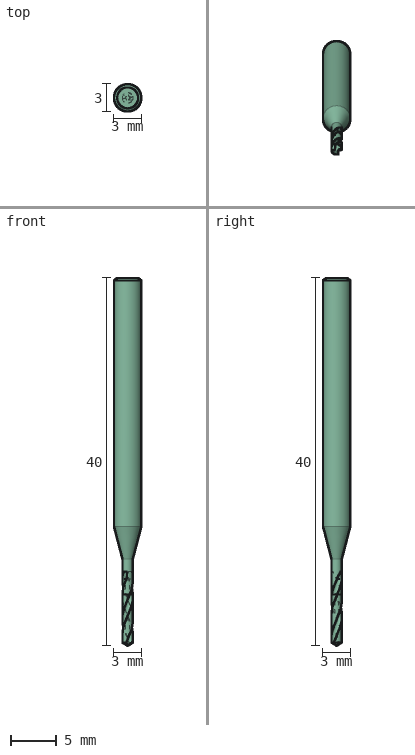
import cadquery as cq
import math

total_length = 40.0
shank_radius = 3.0 / 2
shank_start = 12.95
neck_top = 9.45
joint_height = 5.6
drill_radius = 1.15 / 2
top_chamfer_width = 0.35
top_chamfer_height = 0.3

point_angle = 118.0
point_height = drill_radius / math.tan(math.radians(point_angle / 2))

flute_count = 2
flute_radius = 0.35
flute_pitch = 8.65
flute_start_angle = 97.0
flute_end = 7.3
flute_twist = 360 * flute_end / flute_pitch
runout_height = 0.8
runout_tilt = 0.25


def flute_section(angle, height):
    """Round groove section centred on the drill surface."""
    turn = math.radians(angle)
    centre = (drill_radius * math.cos(turn), drill_radius * math.sin(turn))
    return cq.Workplane("XY").workplane(offset=height).pushPoints([centre]).circle(flute_radius)


def helical_flute(start_angle):
    """Groove section twisted about the drill axis, from the tip to the run-out."""
    return flute_section(start_angle, 0).twistExtrude(flute_end, flute_twist)


def flute_runout(start_angle):
    """Straight end of a groove, following the helix tangent and rising out of the drill."""
    end_angle = start_angle + flute_twist
    turn = math.radians(end_angle)
    sideways = 2 * math.pi * drill_radius * runout_height / flute_pitch
    direction = cq.Vector(
        runout_tilt * math.cos(turn) - sideways * math.sin(turn),
        runout_tilt * math.sin(turn) + sideways * math.cos(turn),
        runout_height,
    )
    section = flute_section(end_angle, flute_end).val()
    return cq.Workplane(cq.Solid.extrudeLinear(section, [], direction))


def cut_flutes(body, flute_cutter):
    """Cut the evenly spaced grooves made by flute_cutter."""
    for index in range(flute_count):
        body = body.cut(flute_cutter(flute_start_angle + index * 360 / flute_count))
    return body


def revolve_profile(points):
    """Turn a radius-height outline about the Z axis."""
    return cq.Workplane("XZ").polyline(points).close().revolve(360, (0, 0), (0, 1))


def make_shank():
    """Chamfered shank, taper and neck, with the upper ends of the flutes."""
    body = revolve_profile([
        (0, joint_height),
        (drill_radius, joint_height),
        (drill_radius, neck_top),
        (shank_radius, shank_start),
        (shank_radius, total_length - top_chamfer_height),
        (shank_radius - top_chamfer_width, total_length),
        (0, total_length),
    ])
    return cut_flutes(cut_flutes(body, helical_flute), flute_runout)


def make_cutting_tip():
    """Pointed and fluted lower end of the drill."""
    body = revolve_profile([
        (0, 0),
        (drill_radius, point_height),
        (drill_radius, joint_height),
        (0, joint_height),
    ])
    return cut_flutes(body, helical_flute)


shank = make_shank()
cutting_tip = make_cutting_tip()
result = cq.Compound.makeCompound([shank.val(), cutting_tip.val()])